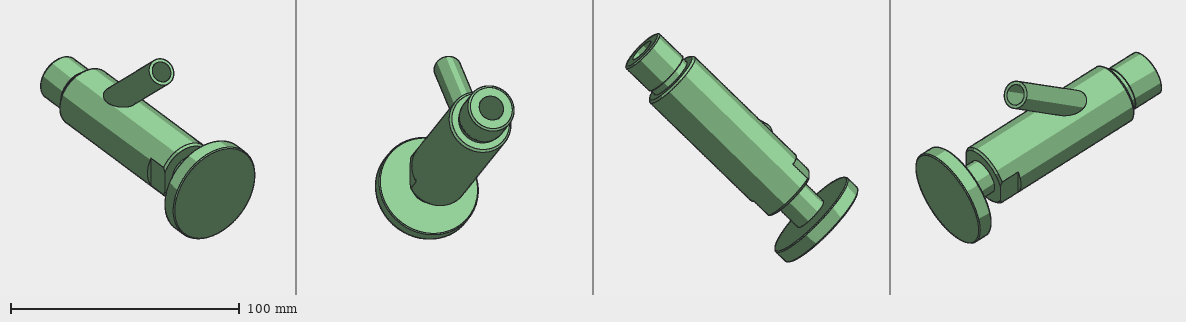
import cadquery as cq
import math


thread_diameter = 20.95
thread_length = 15.0
thread_chamfer_angle = 30.0
thread_chamfer_depth = 1.0
thread_chamfer_length = thread_chamfer_depth * math.tan(math.radians(thread_chamfer_angle))
neck_diameter = 19.95
neck_length = 3.0
barrel_diameter = 28.0
barrel_length = 74.0
barrel_chamfer = 1.0
barrel_start = thread_length + neck_length
barrel_end = barrel_start + barrel_length

flat_length = 10.0
across_flats = 24.0

tube_outer_diameter = 12.0
tube_bore_diameter = 9.0
tube_angle = 45.0
tube_axis_start = 30.3
tube_length = 61.63

inlet_diameter = 11.0
plunger_tip = 45.0

rod_diameter = 16.0
knob_diameter = 45.0
knob_thickness = 7.0
knob_chamfer = 0.5
overall_length = 112.12
knob_start = overall_length - knob_thickness


def x_cylinder(diameter, start, end):
    """Cylinder on the main axis between two X positions."""
    return cq.Workplane("YZ").workplane(offset=start).circle(diameter / 2).extrude(end - start)


def tube_cylinder(diameter):
    """Cylinder on the side tube's axis, from the main axis to the tube's open end."""
    angle = math.radians(tube_angle)
    tube_plane = cq.Plane(
        origin=(tube_axis_start, 0, 0),
        xDir=(0, 1, 0),
        normal=(math.cos(angle), 0, math.sin(angle)),
    )
    return cq.Workplane(tube_plane).circle(diameter / 2).extrude(tube_length)


def make_barrel():
    """Chamfered barrel with two opposite wrench flats."""
    barrel = x_cylinder(barrel_diameter, barrel_start, barrel_end)
    barrel = barrel.faces("<X or >X").chamfer(barrel_chamfer)
    flat_depth = (barrel_diameter - across_flats) / 2
    flat_center_y = (across_flats + flat_depth) / 2
    for side in (-1, 1):
        cutter = cq.Workplane("XY").box(flat_length, flat_depth, barrel_diameter)
        barrel = barrel.cut(cutter.translate((barrel_end - flat_length / 2, side * flat_center_y, 0)))
    return barrel


def make_thread():
    """Plain cylinder standing for the inlet thread, with a chamfered lead-in."""
    thread = x_cylinder(thread_diameter, 0, thread_length)
    return thread.faces("<X").chamfer(thread_chamfer_length, thread_chamfer_depth)


def make_valve_body():
    """Inlet, barrel and side tube as one solid, bored for the flow and the plunger."""
    neck = x_cylinder(neck_diameter, thread_length, barrel_start)
    body = make_barrel().union(neck).union(make_thread()).union(tube_cylinder(tube_outer_diameter))
    body = body.cut(x_cylinder(inlet_diameter, 0, plunger_tip))
    body = body.cut(tube_cylinder(tube_bore_diameter))
    return body.cut(x_cylinder(rod_diameter, plunger_tip, barrel_end))


def make_plunger():
    """Rod filling the barrel's rear bore, with the knob on its outer end."""
    knob = x_cylinder(knob_diameter, knob_start, overall_length)
    knob = knob.faces("<X or >X").chamfer(knob_chamfer)
    return knob.union(x_cylinder(rod_diameter, plunger_tip, knob_start))


valve_body = make_valve_body()
plunger = make_plunger()

result = cq.Compound.makeCompound([valve_body.val(), plunger.val()])